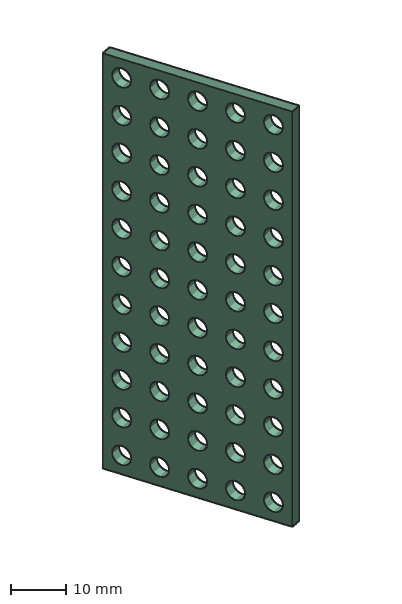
import cadquery as cq

hole_pitch = 8.0
columns = 5
rows = 11
thickness = 2.5
hole_diameter = 4.0

width = columns * hole_pitch
height = rows * hole_pitch


def make_plate():
    """Flat upright plate centred on the origin."""
    return cq.Workplane("XY").box(width, thickness, height)


def drill_hole_grid(plate):
    """Drill the grid of round holes through the plate along Y."""
    return (
        plate.faces("<Y")
        .workplane(centerOption="CenterOfBoundBox")
        .rarray(hole_pitch, hole_pitch, columns, rows)
        .hole(hole_diameter)
    )


result = drill_hole_grid(make_plate())